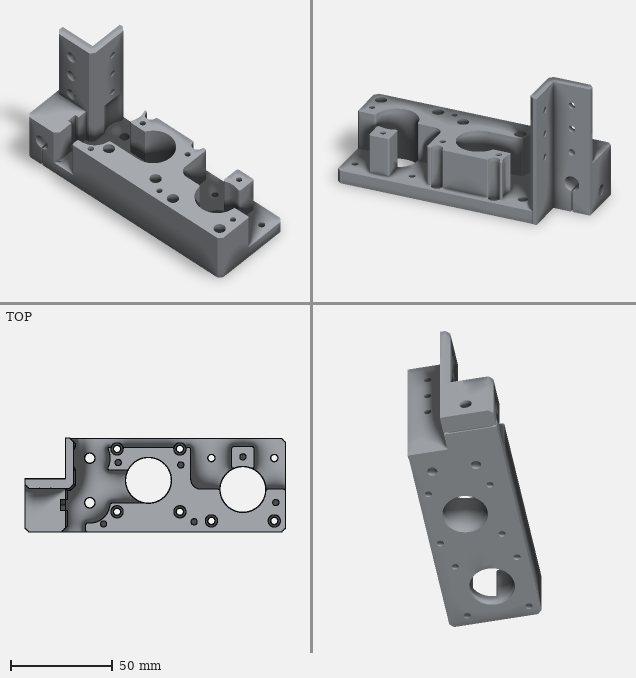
import cadquery as cq
import math

LENGTH = 128.5
WIDTH = 46.5
BASE_WIDTH = 46.3
ARM_HEIGHT = 70.0
BODY_HEIGHT = 27.8
FLOOR = 7.0
BEVEL = 2.0
FLOOR_BEVEL = 1.0

BLOCK_LENGTH = 19.9
BACK_FACE = 26.5
WALL_Y = 4.9
WALL_X = 4.1
FRONT_FACE = BACK_FACE - WALL_Y
ARM_END = BLOCK_LENGTH + WALL_X

SCREW_D = 3.5
HEAD_D = 6.0
PILOT_D = 3.1
PILOT_DEPTH = 10.0
MOUNT_D = 5.0
BORE_D = 22.5
BORE_R = BORE_D / 2

CLAMP_X = 10.0
ROD_D = 8.1
ROD_Z = 15.5
SLIT_WIDTH = 1.0
CLAMP_SCREW_Y = 13.5
CLAMP_SCREW_Z = 8.0
CLAMP_HEAD_DEPTH = 4.0
NUT_FLATS = 5.4
NUT_THICKNESS = 2.3

SINK_DEPTH = (HEAD_D - SCREW_D) / 2
WALL_SCREW_Z = [33.0, 46.0, 59.0]

MOUNT_X = 32.0
MOUNT_Y = [14.5, 36.5]
CLEARANCE_R = 10.0
ARM_SCREW_Y = MOUNT_Y[1]

SCREW_PITCH = 31.0
BORE_1 = (60.9, 25.6)
BORE_2 = (107.4, 21.1)
HEAD_SEAT_1 = 5.0
HEAD_SEAT_2 = FLOOR

RISER_START = 30.0
RISER_BACK = 41.8
RISER_STEP_X = 81.7
RISER_STEP_Y = 21.2
RECESS_BACK = 30.6
RISER_ROUND = 1.0
HEAD_ROUND = 0.6
STEP_ROUND = 5.0

POST_WIDTH = 11.0
POST_BACK = 42.1

PILOTS = [(46.0, 34.3), (76.8, 33.2), (38.8, 4.1), (83.4, 5.1), (123.6, 14.6), (BORE_2[0], 37.1)]


def box(x0, x1, y0, y1, z0, z1):
    return cq.Workplane("XY").box(x1 - x0, y1 - y0, z1 - z0, centered=False).translate((x0, y0, z0))


def rod_z(points, diameter, z0, z1):
    return cq.Workplane("XY", origin=(0, 0, z0)).pushPoints(points).circle(diameter / 2).extrude(z1 - z0)


def rod_x(y, z, diameter, x0, x1):
    return cq.Workplane("YZ", origin=(x0, y, z)).circle(diameter / 2).extrude(x1 - x0)


def rod_y(x, z, diameter, y0, y1):
    return cq.Workplane("XZ", origin=(x, y0, z)).circle(diameter / 2).extrude(y0 - y1)


def screw_square(center):
    half = SCREW_PITCH / 2
    return [(center[0] + sx * half, center[1] + sy * half) for sy in (-1, 1) for sx in (-1, 1)]


def on_circle(center, radius, angle):
    return (center[0] + radius * math.cos(angle), center[1] + radius * math.sin(angle))


def vertical_edges(part, points):
    """Select the vertical edges that stand at the given plan points."""
    reach = 0.3
    chosen = None
    for x, y in points:
        near = cq.selectors.BoxSelector((x - reach, y - reach, 0), (x + reach, y + reach, ARM_HEIGHT))
        chosen = near if chosen is None else chosen + near
    return part.edges("|Z").edges(chosen)


def make_base_plate():
    plate = box(BLOCK_LENGTH, LENGTH, 0, BASE_WIDTH, 0, FLOOR)
    return plate.edges("|Z and >X").chamfer(BEVEL)


def make_upright():
    """Clamp block and tall L-shaped angle, joined to the base plate by a beveled foot."""
    block = box(0, BLOCK_LENGTH, 0, BACK_FACE, 0, BODY_HEIGHT).edges("|Z and <Y").chamfer(BEVEL)
    arm = (
        cq.Workplane("XY")
        .moveTo(0, BACK_FACE)
        .lineTo(BLOCK_LENGTH, BACK_FACE)
        .lineTo(BLOCK_LENGTH, WIDTH)
        .lineTo(ARM_END - BEVEL, WIDTH)
        .lineTo(ARM_END, WIDTH - BEVEL)
        .lineTo(ARM_END, FRONT_FACE + BEVEL)
        .lineTo(ARM_END - BEVEL, FRONT_FACE)
        .lineTo(BEVEL, FRONT_FACE)
        .lineTo(0, FRONT_FACE + BEVEL)
        .close()
        .extrude(ARM_HEIGHT)
    )
    corner = box(BLOCK_LENGTH - BEVEL, BLOCK_LENGTH, 0, BEVEL, 0, FLOOR)
    clearance = rod_z([(MOUNT_X, MOUNT_Y[1])], 2 * CLEARANCE_R, FLOOR, BODY_HEIGHT)
    upright = make_base_plate().union(block).union(corner).union(arm).cut(clearance)
    foot = cq.selectors.BoxSelector(
        (BLOCK_LENGTH - 0.1, BEVEL, FLOOR - 0.1),
        (ARM_END + 0.1, WIDTH - BEVEL, FLOOR + 0.1),
    )
    return upright.edges(foot).chamfer(FLOOR_BEVEL)


def make_riser():
    """Raised body whose outline follows the head clearances and wraps the first bore."""
    low = (MOUNT_X, MOUNT_Y[0])
    high = (MOUNT_X, MOUNT_Y[1])
    recess_front = BORE_1[1] - BORE_R
    low_end = math.asin((recess_front - low[1]) / CLEARANCE_R)
    high_start = math.asin((RISER_BACK - high[1]) / CLEARANCE_R)
    high_end = math.asin((RECESS_BACK - high[1]) / CLEARANCE_R)
    bore_end = math.pi - math.asin((RECESS_BACK - BORE_1[1]) / BORE_R)

    riser = (
        cq.Workplane("XY", origin=(0, 0, FLOOR))
        .moveTo(RISER_START, 0)
        .lineTo(RISER_START, low[1] - CLEARANCE_R)
        .lineTo(low[0], low[1] - CLEARANCE_R)
        .threePointArc(on_circle(low, CLEARANCE_R, -math.pi / 4), on_circle(low, CLEARANCE_R, low_end))
        .lineTo(BORE_1[0], recess_front)
        .threePointArc((BORE_1[0] + BORE_R, BORE_1[1]), on_circle(BORE_1, BORE_R, bore_end))
        .lineTo(*on_circle(high, CLEARANCE_R, high_end))
        .threePointArc(on_circle(high, CLEARANCE_R, 0), on_circle(high, CLEARANCE_R, high_start))
        .lineTo(RISER_STEP_X, RISER_BACK)
        .lineTo(RISER_STEP_X, RISER_STEP_Y)
        .lineTo(LENGTH, RISER_STEP_Y)
        .lineTo(LENGTH, 0)
        .close()
        .extrude(BODY_HEIGHT - FLOOR)
    )
    riser = riser.edges("|Z and >X and <Y").chamfer(BEVEL)
    riser = riser.cut(rod_z([BORE_2], BORE_D, FLOOR, BODY_HEIGHT))
    rear_heads = screw_square(BORE_1)[2:]
    riser = riser.cut(rod_z(rear_heads, HEAD_D, FLOOR, BODY_HEIGHT))
    head_reach = math.sqrt((HEAD_D / 2) ** 2 - (RISER_BACK - rear_heads[0][1]) ** 2)

    riser = vertical_edges(riser, [(RISER_STEP_X, RISER_STEP_Y)]).fillet(STEP_ROUND)
    head_corners = [on_circle(high, CLEARANCE_R, high_start)]
    for x, _ in rear_heads:
        head_corners += [(x - head_reach, RISER_BACK), (x + head_reach, RISER_BACK)]
    riser = vertical_edges(riser, head_corners).fillet(HEAD_ROUND)

    outer_corners = [
        (RISER_START, 0),
        (RISER_START, low[1] - CLEARANCE_R),
        on_circle(low, CLEARANCE_R, low_end),
        on_circle(high, CLEARANCE_R, high_end),
        (RISER_STEP_X, RISER_BACK),
        (BORE_2[0] - BORE_R, RISER_STEP_Y),
        (BORE_2[0] + BORE_R, RISER_STEP_Y),
        (LENGTH, RISER_STEP_Y),
    ]
    return vertical_edges(riser, outer_corners).fillet(RISER_ROUND)


def make_post():
    half = POST_WIDTH / 2
    post = box(BORE_2[0] - half, BORE_2[0] + half, BORE_2[1], POST_BACK, FLOOR, BODY_HEIGHT)
    post = post.cut(rod_z([BORE_2], BORE_D, FLOOR, BODY_HEIGHT)).solids(">Y")
    return cq.Workplane(post.val()).edges("|Z").fillet(RISER_ROUND)


def cut_body_holes(part):
    squares = [screw_square(BORE_1), screw_square(BORE_2)]
    part = part.cut(rod_z([BORE_1, BORE_2], BORE_D, 0, BODY_HEIGHT))
    part = part.cut(rod_z([(MOUNT_X, y) for y in MOUNT_Y], MOUNT_D, 0, FLOOR))
    for screws, seat in zip(squares, (HEAD_SEAT_1, HEAD_SEAT_2)):
        part = part.cut(rod_z(screws, SCREW_D, 0, BODY_HEIGHT))
        part = part.cut(rod_z(screws, HEAD_D, seat, BODY_HEIGHT))
    return part.cut(rod_z(PILOTS, PILOT_D, BODY_HEIGHT - PILOT_DEPTH, BODY_HEIGHT))


def cut_wall_screws(part):
    """Countersunk screws through the wall along X, plain ones through the arm."""
    for z in WALL_SCREW_Z:
        part = part.cut(rod_y(CLAMP_X, z, SCREW_D, FRONT_FACE, BACK_FACE))
        cone = cq.Solid.makeCone(
            HEAD_D / 2, SCREW_D / 2, SINK_DEPTH, cq.Vector(CLAMP_X, FRONT_FACE, z), cq.Vector(0, 1, 0)
        )
        part = part.cut(cq.Workplane(cone))
        part = part.cut(rod_x(ARM_SCREW_Y, z, SCREW_D, BLOCK_LENGTH, ARM_END))
    return part


def cut_clamp(part):
    """Rod hole with its slit, and the cross screw with a head seat and a nut slot."""
    part = part.cut(rod_y(CLAMP_X, ROD_Z, ROD_D, 0, BACK_FACE))
    half_slit = SLIT_WIDTH / 2
    part = part.cut(box(CLAMP_X - half_slit, CLAMP_X + half_slit, 0, BACK_FACE, 0, ROD_Z))
    part = part.cut(rod_x(CLAMP_SCREW_Y, CLAMP_SCREW_Z, SCREW_D, 0, BLOCK_LENGTH))
    part = part.cut(rod_x(CLAMP_SCREW_Y, CLAMP_SCREW_Z, HEAD_D, 0, CLAMP_HEAD_DEPTH))

    half_flats = NUT_FLATS / 2
    half_side = half_flats * math.tan(math.pi / 6)
    nut_radius = 2 * half_side
    nut_slot = (
        cq.Workplane("YZ", origin=(BLOCK_LENGTH - NUT_THICKNESS, CLAMP_SCREW_Y, CLAMP_SCREW_Z))
        .moveTo(0, -nut_radius)
        .lineTo(half_flats, -half_side)
        .lineTo(half_flats, BODY_HEIGHT - CLAMP_SCREW_Z)
        .lineTo(-half_flats, BODY_HEIGHT - CLAMP_SCREW_Z)
        .lineTo(-half_flats, -half_side)
        .close()
        .extrude(NUT_THICKNESS)
    )
    foot_gap = box(
        BLOCK_LENGTH, BLOCK_LENGTH + FLOOR_BEVEL,
        CLAMP_SCREW_Y - half_flats, CLAMP_SCREW_Y + half_flats,
        FLOOR, FLOOR + FLOOR_BEVEL,
    )
    return part.cut(nut_slot).cut(foot_gap)


body = make_upright().union(make_riser()).union(make_post())
body = cut_body_holes(body)
body = cut_wall_screws(body)
result = cut_clamp(body)